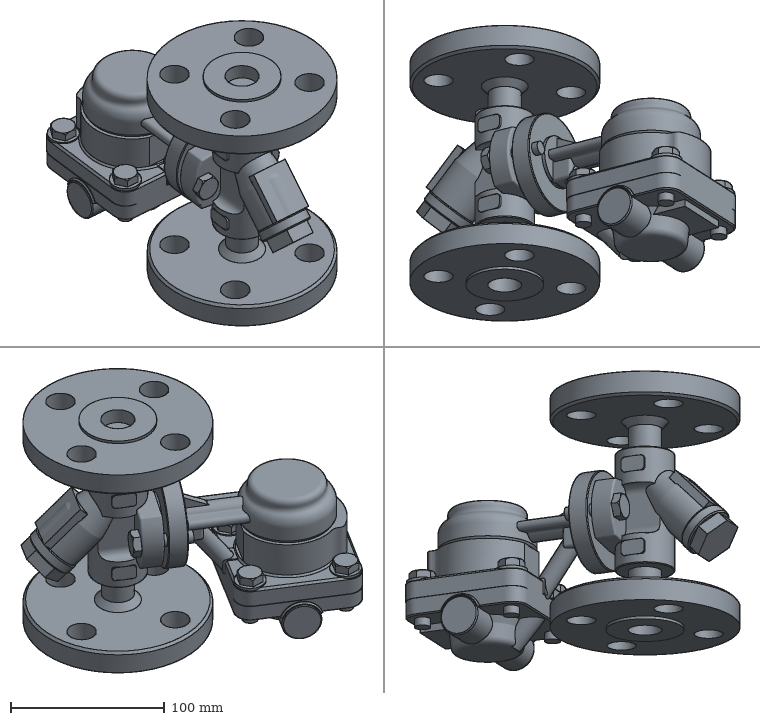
import cadquery as cq
import math


overall_length = 219.1
half_height = 80.0
branch_z = -2.0
hex_flats = 15.5
head_bevel = 1.0

flange_radius = 62.0
flange_thickness = 16.0
flange_chamfer = 1.8
face_radius = 25.5
face_thickness = 2.0
bolt_hole_diameter = 19.0
bolt_hole_offset = 31.3
bore_diameter = 22.1
bore_depth = 10.0
hub_radius = 15.3
hub_length = 4.8
neck_diameter = 21.7
neck_radius = neck_diameter / 2

body_radius = 19.5
body_half_length = 39.9
body_chamfer = 0.7
waist_half_width = 11.5
waist_half_height = 17.3
waist_fillet = 5.7
waist_start_x = -8.8
waist_length = 30.7
pad_width = 16.5
pad_height = 10.3
pad_radius = 2.6
pad_offset_z = 28.5
pad_plane_y = 19.5
pad_depth = 6.5

joint_left_x = -39.9
disc_radius = 33.3
disc_thickness = 13.4
disc_chamfer = 0.7
joint_right_x = joint_left_x + disc_thickness
spacer_radius = 17.5
boss_length = 2.2
core_right_x = -11.0
ear_left_x = -23.9
ear_right_x = -8.5
ear_radius = 33.0
ear_flat_half_width = 4.4
ear_middle_z = 22.8
ear_corner_y = 26.5
ear_corner_fillet = 1.8
ear_fillet = 1.3
joint_bolt_y = 25.6
joint_bolt_diameter = 8.8
joint_bolt_overhang = 4.4
joint_head_length = 5.7

strainer_root = 13.4
strainer_start_radius = 11.8
strainer_radius = 17.0
strainer_start = -11.0
strainer_full = 12.5
collar_start = 38.8
collar_radius = 17.5
collar_chamfer = 0.9
cap_start = 46.5
cap_end = 55.5
cap_flats = 29.4
strainer_pad_start = 4.4
strainer_pad_half_width = 13.4
strainer_pad_bottom = 9.9
strainer_pad_top = 16.5

box_half = 43.0
cap_tip_x = strainer_root + (cap_end + cap_flats / 2) / math.sqrt(2)
trap_x = cap_tip_x - overall_length + box_half
box_top = -38.1
box_split = -51.3
box_bottom = -62.9
box_corner_radius = 10.7
box_edge = 1.5
base_edge = 0.9
base_inset = 0.5
bolt_boss_radius = 10.5
bolt_boss_top = -37.3
trap_bolt_offset = 32.0
trap_bolt_diameter = 10.5
trap_bolt_bottom = -68.4
trap_head_length = 6.0
barrel_radius = 33.7
barrel_flat_x = 31.8
barrel_top = -13.1
lobe_radius = 39.2
lobe_half_angle = 35.0
lobe_edge = 4.4
lobe_blend = 6.5
barrel_foot_radius = 35.0
barrel_foot_height = 1.3
side_port_radius = 13.4
side_port_z = -67.5
side_port_half_length = 44.7
side_port_chamfer = 0.9
port_collar_radius = 15.0
port_collar_length = 1.0
bowl_bottom = -81.3
bowl_bottom_radius = 23.5
bowl_radius = 25.0
bowl_lip_radius = 27.2
bowl_lip_z = -68.0
ledge_reach = 39.2
ledge_half_width = 20.2
bowl_fillet = 4.4

dome_foot_radius = 31.1
dome_radius = 32.5
dome_foot_z = -11.0
dome_shoulder_z = -1.0
dome_shoulder_middle = (31.1, 3.7)
dome_shoulder_end = (27.8, 7.0)
dome_neck_middle = (26.5, 8.5)
dome_neck_radius = 26.0
dome_neck_z = 10.7
dome_rim_z = 12.0
dome_rim_middle = (25.0, 15.0)
dome_top_radius = 22.1
dome_top_z = 16.2

inlet_diameter = 15.1
inlet_radius = inlet_diameter / 2
rail_half_width = 15.8
rail_thickness = 6.5
rail_edge = 3.0
rail_blend = 1.5
rail_end_x = -43.8
gusset_thickness = 5.3
gusset_start_x = -61.4
gusset_top_z = 14.0
gusset_overlap = 0.9
block_left_x = -56.0
block_bottom_z = -18.8
block_half_width = 7.7
block_fillet = 2.2
return_diameter = 13.0
return_radius = return_diameter / 2
return_top = (-49.5, -10.5)
return_bottom = (-83.3, -56.5)
drain_radius = 7.7
drain_length = 28.5
drain_tip = (-90.7, -83.0)
drain_angle = 48.0
lug_right_x = -68.8
lug_length = 11.0
lug_top = -37.3
lug_bottom = -48.2
lug_fillet = 1.8


def cylinder_x(radius, x0, x1, y=0.0):
    """Cylinder along X at branch height."""
    return cq.Workplane("YZ", origin=(x0, y, branch_z)).circle(radius).extrude(x1 - x0)


def hexagon(workplane, flats):
    """Hexagon with corners on the workplane's local X axis."""
    return workplane.polygon(6, flats / math.cos(math.pi / 6))


def bolt_head(workplane, height):
    """Hexagon bolt head whose outer corners are bevelled."""
    corner_radius = hex_flats / math.cos(math.pi / 6) / 2
    outer_face = cq.DirectionMinMaxSelector(workplane.plane.zDir)
    bevel = workplane.circle(corner_radius).extrude(height).faces(outer_face)
    return hexagon(workplane, hex_flats).extrude(height).intersect(bevel.edges().chamfer(head_bevel))


def cylinder_between(start, end, radius):
    """Cylinder joining two (x, z) points in the plane of symmetry."""
    dx = end[0] - start[0]
    dz = end[1] - start[1]
    length = math.hypot(dx, dz)
    solid = cq.Solid.makeCylinder(radius, length, cq.Vector(start[0], 0, start[1]), cq.Vector(dx, 0, dz))
    return cq.Workplane(obj=solid)


def pipe_flange():
    """Upper flange with hub and neck; the lower one is its mirror image."""
    rim_top = half_height - face_thickness
    rim_bottom = rim_top - flange_thickness
    hub_bottom = rim_bottom - hub_length
    profile = [
        (0, 0),
        (neck_radius, 0),
        (neck_radius, hub_bottom),
        (hub_radius, rim_bottom),
        (flange_radius - flange_chamfer, rim_bottom),
        (flange_radius, rim_bottom + flange_chamfer),
        (flange_radius, rim_top),
        (face_radius, rim_top),
        (face_radius, half_height),
        (0, half_height),
    ]
    flange = cq.Workplane("XZ").polyline(profile).close().revolve(360, (0, 0, 0), (0, 1, 0))
    holes = (
        cq.Workplane("XY", origin=(0, 0, rim_bottom))
        .rect(2 * bolt_hole_offset, 2 * bolt_hole_offset, forConstruction=True)
        .vertices()
        .circle(bolt_hole_diameter / 2)
        .extrude(flange_thickness)
    )
    bore = (
        cq.Workplane("XY", origin=(0, 0, half_height - bore_depth))
        .circle(bore_diameter / 2)
        .extrude(bore_depth)
    )
    return flange.cut(holes).cut(bore)


def valve_body():
    """Round body with wrench pads and a flat-sided waist."""
    body = (
        cq.Workplane("XY", origin=(0, 0, -body_half_length))
        .circle(body_radius)
        .extrude(2 * body_half_length)
        .edges()
        .chamfer(body_chamfer)
    )
    waist = (
        cq.Workplane("XY")
        .box(waist_length, body_radius, 2 * waist_half_height)
        .faces("<Y")
        .edges("|X")
        .fillet(waist_fillet)
        .translate((waist_start_x + waist_length / 2, waist_half_width + body_radius / 2, branch_z))
    )
    body = body.cut(waist).cut(waist.mirror("XZ"))
    for side in (-1, 1):
        for level in (-pad_offset_z, pad_offset_z):
            pad = (
                cq.Workplane("XY")
                .box(pad_width, pad_depth, pad_height)
                .edges("|Y")
                .fillet(pad_radius)
                .translate((0, side * (pad_plane_y - pad_depth / 2), level))
            )
            body = body.union(pad)
    return body


def strainer():
    """Tapered strainer pocket with collar, top pad and hexagon cap."""
    axis_plane = cq.Plane(origin=(strainer_root, 0, strainer_root), xDir=(0, 1, 0), normal=(1, 0, -1))

    def at(distance):
        return cq.Workplane(axis_plane).workplane(offset=distance)

    taper = (
        at(strainer_start)
        .circle(strainer_start_radius)
        .workplane(offset=strainer_full - strainer_start)
        .circle(strainer_radius)
        .loft()
    )
    pocket = at(strainer_full).circle(strainer_radius).extrude(collar_start - strainer_full)
    collar = at(collar_start).circle(collar_radius).extrude(cap_start - collar_start)
    collar = collar.edges().chamfer(collar_chamfer)
    cap = hexagon(at(cap_start), cap_flats).extrude(cap_end - cap_start)
    pad_rise = strainer_pad_top - strainer_pad_bottom
    pad = (
        at(strainer_pad_start)
        .center(0, strainer_pad_bottom + pad_rise / 2)
        .rect(2 * strainer_pad_half_width, pad_rise)
        .extrude(collar_start - strainer_pad_start)
    )
    return taper.union(pocket).union(collar).union(cap).union(pad)


def branch_joint():
    """Disc, spacer and ear flange, held by two bolts."""
    corner_z = math.sqrt(ear_radius ** 2 - ear_corner_y ** 2)
    disc = cylinder_x(disc_radius, joint_left_x, joint_right_x).edges().chamfer(disc_chamfer)
    core = cylinder_x(spacer_radius, joint_left_x - boss_length, core_right_x)
    ear_profile = (
        cq.Workplane("YZ", origin=(ear_left_x, 0, branch_z))
        .moveTo(-ear_flat_half_width, ear_middle_z)
        .lineTo(ear_flat_half_width, ear_middle_z)
        .lineTo(ear_corner_y, corner_z)
        .threePointArc((ear_radius, 0), (ear_corner_y, -corner_z))
        .lineTo(ear_flat_half_width, -ear_middle_z)
        .lineTo(-ear_flat_half_width, -ear_middle_z)
        .lineTo(-ear_corner_y, -corner_z)
        .threePointArc((-ear_radius, 0), (-ear_corner_y, corner_z))
        .close()
    )
    ear = ear_profile.extrude(ear_right_x - ear_left_x)
    corner_x = (ear_left_x + ear_right_x) / 2
    for y in (-ear_corner_y, ear_corner_y):
        for z in (branch_z - corner_z, branch_z + corner_z):
            ear = ear.edges(cq.NearestToPointSelector((corner_x, y, z))).fillet(ear_corner_fillet)
    ear = ear.faces("<X or >X").edges().fillet(ear_fillet)
    joint = disc.union(core).union(ear)
    for y in (-joint_bolt_y, joint_bolt_y):
        shank = cylinder_x(joint_bolt_diameter / 2, joint_left_x - joint_bolt_overhang, ear_right_x, y)
        head_plane = cq.Workplane("YZ", origin=(ear_right_x, y, branch_z))
        head = bolt_head(head_plane, joint_head_length)
        joint = joint.union(shank).union(head)
    return joint


def dome():
    """Rounded top of the trap as a revolved shape about the trap axis."""
    outline = (
        cq.Workplane("XZ")
        .moveTo(0, barrel_top)
        .lineTo(dome_foot_radius, barrel_top)
        .lineTo(dome_radius, dome_foot_z)
        .lineTo(dome_radius, dome_shoulder_z)
        .threePointArc(dome_shoulder_middle, dome_shoulder_end)
        .threePointArc(dome_neck_middle, (dome_neck_radius, dome_neck_z))
        .lineTo(dome_neck_radius, dome_rim_z)
        .threePointArc(dome_rim_middle, (dome_top_radius, dome_top_z))
        .lineTo(0, dome_top_z)
        .close()
    )
    return outline.revolve(360, (0, 0, 0), (0, 1, 0))


def barrel():
    """Upright barrel with a lobe away from the branch."""
    height = barrel_top - box_top
    base = cq.Workplane("XY", origin=(0, 0, box_top))
    drum = base.circle(barrel_radius).extrude(height)
    foot = base.circle(barrel_foot_radius).extrude(barrel_foot_height, taper=45)
    side = math.tan(math.radians(lobe_half_angle)) * lobe_radius
    wedge = base.polyline([(0, 0), (-lobe_radius, side), (-lobe_radius, -side)]).close().extrude(height)
    lobe = base.circle(lobe_radius).extrude(height).intersect(wedge)
    drum = drum.union(lobe)
    for radius, fillet in ((lobe_radius, lobe_edge), (barrel_radius, lobe_blend)):
        edge_x = -radius * math.cos(math.radians(lobe_half_angle))
        edge_y = radius * math.sin(math.radians(lobe_half_angle))
        for y in (-edge_y, edge_y):
            edge = cq.NearestToPointSelector((edge_x, y, box_top + height / 2))
            drum = drum.edges(edge).fillet(fillet)
    beyond_flat = cq.Workplane("XY", origin=(0, 0, box_top))
    beyond_flat = beyond_flat.center(barrel_flat_x + barrel_radius, 0)
    beyond_flat = beyond_flat.rect(2 * barrel_radius, 2 * barrel_radius).extrude(height)
    return drum.cut(beyond_flat).union(foot)


def trap_box():
    """Bolted cover and base of the trap with corner bosses."""

    def plate(half_width, bottom, top):
        return (
            cq.Workplane("XY", origin=(0, 0, bottom))
            .rect(2 * box_half, 2 * half_width)
            .extrude(top - bottom)
            .edges("|Z")
            .fillet(box_corner_radius)
        )

    cover = plate(box_half, box_split, box_top).faces(">Z").edges().chamfer(box_edge)
    base = plate(box_half - base_inset, box_bottom, box_split).faces("<Z").edges().chamfer(base_edge)
    box = cover.union(base)
    for sx in (-1, 1):
        for sy in (-1, 1):
            x = sx * trap_bolt_offset
            y = sy * trap_bolt_offset
            boss_height = bolt_boss_top - box_split
            boss = cq.Workplane("XY", origin=(x, y, box_split)).circle(bolt_boss_radius).extrude(boss_height)
            head_plane = cq.Workplane("XY", origin=(x, y, bolt_boss_top)).transformed(rotate=(0, 0, 90))
            head = bolt_head(head_plane, trap_head_length)
            shank = (
                cq.Workplane("XY", origin=(x, y, trap_bolt_bottom))
                .circle(trap_bolt_diameter / 2)
                .extrude(box_split - trap_bolt_bottom)
            )
            box = box.union(boss).union(head).union(shank)
    return box


def trap_bottom():
    """Bowl under the trap with a side port across it."""
    bowl = (
        cq.Workplane("XZ")
        .moveTo(0, bowl_bottom)
        .lineTo(bowl_bottom_radius, bowl_bottom)
        .lineTo(bowl_radius, bowl_lip_z)
        .lineTo(bowl_lip_radius, box_bottom)
        .lineTo(0, box_bottom)
        .close()
        .revolve(360, (0, 0, 0), (0, 1, 0))
        .faces("<Z")
        .edges()
        .fillet(bowl_fillet)
    )
    ledge_height = box_bottom - bowl_lip_z
    ledge = (
        cq.Workplane("XY")
        .box(ledge_reach, 2 * ledge_half_width, ledge_height)
        .translate((-ledge_reach / 2, 0, bowl_lip_z + ledge_height / 2))
    )
    port = (
        cq.Workplane("XZ", origin=(0, side_port_half_length, side_port_z))
        .circle(side_port_radius)
        .extrude(2 * side_port_half_length)
        .edges()
        .chamfer(side_port_chamfer)
    )
    collar_half_length = box_half + port_collar_length
    collar = (
        cq.Workplane("XZ", origin=(0, collar_half_length, side_port_z))
        .circle(port_collar_radius)
        .extrude(2 * collar_half_length)
        .edges()
        .chamfer(port_collar_length)
    )
    collar_height = box_split - box_bottom
    above_base = cq.Workplane("XY").box(2 * box_half, 2 * collar_half_length, collar_height)
    above_base = above_base.translate((0, 0, box_bottom + collar_height / 2))
    return bowl.union(ledge).union(port).union(collar.intersect(above_base))


def inlet():
    """Inlet pipe with two side rails, a gusset and the outlet block."""
    pipe = cylinder_x(inlet_radius, trap_x, joint_left_x)
    rail_length = rail_end_x - trap_x
    rails = (
        cq.Workplane("XY")
        .box(rail_length, 2 * rail_half_width, rail_thickness)
        .edges("|X")
        .fillet(rail_edge)
        .translate((trap_x + rail_length / 2, 0, branch_z))
    )
    arms = pipe.union(rails)
    corner_y = math.sqrt(inlet_radius ** 2 - (rail_thickness / 2) ** 2)
    middle_x = (trap_x + rail_end_x) / 2
    for y in (-corner_y, corner_y):
        for z in (branch_z - rail_thickness / 2, branch_z + rail_thickness / 2):
            arms = arms.edges(cq.NearestToPointSelector((middle_x, y, z))).fillet(rail_blend)
    gusset_base_z = branch_z + inlet_radius - gusset_overlap
    gusset = (
        cq.Workplane("XZ", origin=(0, gusset_thickness / 2, 0))
        .moveTo(gusset_start_x, gusset_base_z)
        .lineTo(joint_left_x, gusset_base_z)
        .lineTo(joint_left_x, gusset_top_z)
        .lineTo(joint_left_x - boss_length, gusset_top_z)
        .close()
        .extrude(gusset_thickness)
    )
    block_length = joint_left_x - block_left_x
    block_height = branch_z - block_bottom_z
    block = (
        cq.Workplane("XY")
        .box(block_length, 2 * block_half_width, block_height)
        .edges("<X or <Z")
        .fillet(block_fillet)
        .translate((block_left_x + block_length / 2, 0, block_bottom_z + block_height / 2))
    )
    return arms.union(gusset).union(block)


def drain():
    """Sloping return pipe and the drain stub that ends under the bowl."""
    pipe = cylinder_between(return_top, return_bottom, return_radius)
    slope = math.radians(drain_angle)
    end_x = drain_tip[0] - drain_radius * math.sin(slope)
    end_z = drain_tip[1] + drain_radius * math.cos(slope)
    start = (end_x + drain_length * math.cos(slope), end_z + drain_length * math.sin(slope))
    stub = cylinder_between(start, (end_x, end_z), drain_radius)
    lug_height = lug_top - lug_bottom
    lug = (
        cq.Workplane("XY")
        .box(lug_length, 2 * return_radius, lug_height)
        .edges("|Y")
        .fillet(lug_fillet)
        .translate((lug_right_x - lug_length / 2, 0, lug_bottom + lug_height / 2))
    )
    return pipe.union(stub).union(lug)


upper_flange = pipe_flange()
trap = trap_box().union(barrel()).union(dome()).union(trap_bottom()).translate((trap_x, 0, 0))
result = upper_flange.union(upper_flange.mirror("XY")).union(valve_body()).union(strainer())
result = result.union(branch_joint()).union(trap).union(inlet()).union(drain())